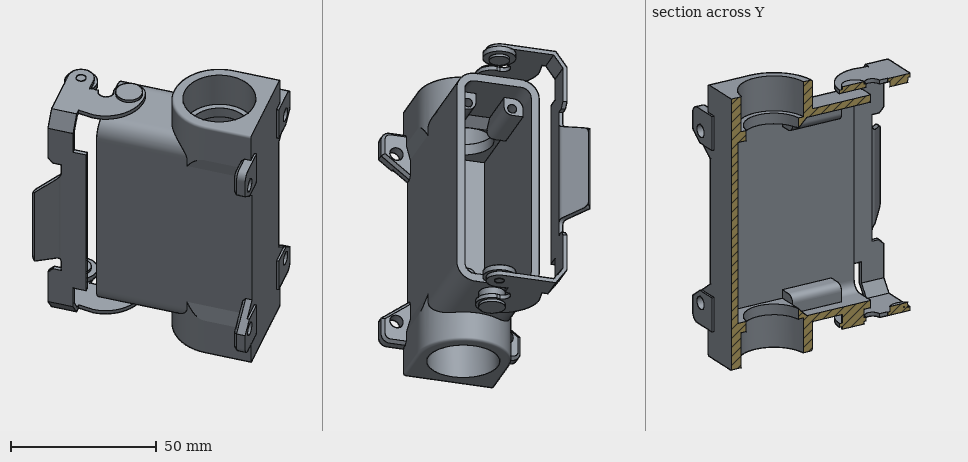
import cadquery as cq
import math


BACK_X = -0.8
FRONT_X = -56.9
BODY_HALF_Y = 14.8
BODY_HALF_Z = 39.7
BODY_RADIUS = 6.5
WALL = 2.9
BACK_WALL = 3.0
CAVITY_BACK_X = BACK_X - BACK_WALL

PORT_X = -17.4
PORT_RADIUS = 16.3
PORT_END_Z = 50.5
PORT_ROUND = 1.0
PORT_TAPER_Z = 35.8
PORT_MERGE_Z = 30.3
BORE_RADIUS = 12.5
BORE_DEPTH = 13.0
ENTRY_RADIUS = 10.5
ENTRY_PAD = 3.25
ENTRY_PAD_X = -28.0

BOSS_FRONT_X = -47.7
BOSS_INNER_Y = 5.1
BOSS_INNER_Z = 30.4
BOSS_RADIUS = 2.8
SCREW_Y = 7.95
SCREW_Z = 32.9
SCREW_HOLE_RADIUS = 1.6
SCREW_HOLE_DEPTH = 12.0

FOOT_FRONT_X = -4.2
FOOT_TIP_Y = 25.0
FOOT_TOP_Z = 40.1
FOOT_ROUND = 3.1
FOOT_SHOULDER_Z = 31.0
FOOT_LOW_Z = 23.3
FOOT_EDGE_CHAMFER = 1.1
FOOT_HOLE_Y = 19.8
FOOT_HOLE_Z = 32.0
FOOT_HOLE_RADIUS = 2.35
PAD_INNER_Y = 12.3
PAD_INNER_Z = 27.4

SHEET = 1.5
LEVER_LEFT_X = -72.75
STEM_RIGHT_X = -63.7
RAIL_RIGHT_X = -58.95
RAIL_HALF_Z = 30.3
LEVER_OUT_Y = -19.77
LEVER_HALF_Z = 44.2
BEND_Y = -15.7
BEND_Z = 38.65
NOTCH_X = -68.0
NOTCH_TOP_Z = 25.5
NOTCH_LOW_Z = 23.55
NOTCH_CHAMFER_X = 1.85

PIVOT_X = -49.9
PIVOT_PAD_RADIUS = 5.6
PIN_RADIUS = 4.6
PIN_HEAD = 1.0
SWEEP_RADIUS = 13.9
SWEEP_Y = -0.5
STEM_JOIN_Y = -13.6
RELIEF_X = -57.8
RELIEF_Y = -1.3
RELIEF_RADIUS = 2.75

ROLLER_Y = 3.15
ROLLER_RADIUS = 5.65
ROLLER_THICKNESS = 1.9
BUTTON_RADIUS = 3.5
BUTTON_HEIGHT = 0.9
RIVET_RADIUS = 1.7
RIVET_RECESS = 0.2

GRIP_ANGLE = math.radians(48)
GRIP_TIP_X = -76.23
GRIP_TIP_Y = -27.29
GRIP_BASE_HALF_Z = 18.1
GRIP_TIP_HALF_Z = 14.9
GRIP_ROUND = 2.2
BEND_OUT_RADIUS = 1.0
BEND_IN_RADIUS = BEND_OUT_RADIUS + SHEET

FAR = 200.0


def box(x0, x1, y0, y1, z0, z1):
    size = (x1 - x0, y1 - y0, z1 - z0)
    return cq.Workplane("XY").box(*size, centered=False).translate((x0, y0, z0))


def disc(x, y, z0, z1, radius):
    return cq.Workplane("XY", origin=(x, y, z0)).circle(radius).extrude(z1 - z0)


def both_ends(shape):
    return shape.union(shape.mirror("XY"))


def four_corners(shape):
    return both_ends(shape.union(shape.mirror("XZ")))


def make_port():
    """Upper D-shaped port whose flanks taper into the body sides."""
    port = (
        cq.Workplane("XY", origin=(0, 0, PORT_MERGE_Z))
        .moveTo(BACK_X, -PORT_RADIUS)
        .lineTo(PORT_X, -PORT_RADIUS)
        .threePointArc((PORT_X - PORT_RADIUS, 0), (PORT_X, PORT_RADIUS))
        .lineTo(BACK_X, PORT_RADIUS)
        .close()
        .extrude(PORT_END_Z - PORT_MERGE_Z)
    )
    port = port.faces(">Z").edges("not(>X)").fillet(PORT_ROUND)
    taper = (
        cq.Workplane("YZ")
        .polyline([
            (-BODY_HALF_Y, PORT_MERGE_Z),
            (BODY_HALF_Y, PORT_MERGE_Z),
            (PORT_RADIUS, PORT_TAPER_Z),
            (PORT_RADIUS, PORT_END_Z),
            (-PORT_RADIUS, PORT_END_Z),
            (-PORT_RADIUS, PORT_TAPER_Z),
        ])
        .close()
        .extrude(FAR, both=True)
    )
    return port.intersect(taper)


def make_cavity():
    """Rounded cavity, narrowed by 45 degree ramps ahead of the ports."""
    half_y = BODY_HALF_Y - WALL
    half_z = BODY_HALF_Z - WALL
    cavity = box(FRONT_X, CAVITY_BACK_X, -half_y, half_y, -half_z, half_z)
    cavity = cavity.edges("|X").fillet(BODY_RADIUS - WALL)
    pad = (
        cq.Workplane("XZ")
        .polyline([
            (ENTRY_PAD_X - ENTRY_PAD, half_z),
            (ENTRY_PAD_X, half_z - ENTRY_PAD),
            (CAVITY_BACK_X, half_z - ENTRY_PAD),
            (CAVITY_BACK_X, half_z),
        ])
        .close()
        .extrude(half_y, both=True)
    )
    return cavity.cut(both_ends(pad))


def make_screw_bosses():
    boss = box(
        BOSS_FRONT_X, ENTRY_PAD_X,
        BOSS_INNER_Y, BODY_HALF_Y - WALL / 2,
        BOSS_INNER_Z, BODY_HALF_Z - WALL / 2,
    )
    boss = boss.edges("|X and >Y and >Z").fillet(BODY_RADIUS - WALL / 2)
    boss = boss.edges("|X and <Y and <Z").fillet(BOSS_RADIUS)
    hole = (
        cq.Workplane("YZ", origin=(BOSS_FRONT_X, SCREW_Y, SCREW_Z))
        .circle(SCREW_HOLE_RADIUS)
        .extrude(SCREW_HOLE_DEPTH)
    )
    return four_corners(boss.cut(hole))


def make_feet():
    """Four drilled ears with bevelled front rims and raised mounting pads."""
    slope = (FOOT_SHOULDER_Z - FOOT_LOW_Z) / (FOOT_TIP_Y - BODY_HALF_Y)
    root_z = FOOT_LOW_Z - slope * (BODY_HALF_Y - PAD_INNER_Y)
    foot = (
        cq.Workplane("YZ", origin=(FOOT_FRONT_X, 0, 0))
        .polyline([
            (FOOT_TIP_Y, FOOT_SHOULDER_Z),
            (FOOT_TIP_Y, FOOT_TOP_Z),
            (PAD_INNER_Y, FOOT_TOP_Z),
            (PAD_INNER_Y, root_z),
        ])
        .close()
        .extrude(-FOOT_FRONT_X)
    )
    foot = foot.edges("|X and >Y and >Z").fillet(FOOT_ROUND)
    foot = foot.faces("<X").chamfer(FOOT_EDGE_CHAMFER)
    foot = foot.cut(box(BACK_X, FAR, 0, FAR, 0, PAD_INNER_Z))
    hole = (
        cq.Workplane("YZ")
        .center(FOOT_HOLE_Y, FOOT_HOLE_Z)
        .circle(FOOT_HOLE_RADIUS)
        .extrude(FAR, both=True)
    )
    return four_corners(foot.cut(hole))


def make_housing():
    body = box(FRONT_X, BACK_X, -BODY_HALF_Y, BODY_HALF_Y, -BODY_HALF_Z, BODY_HALF_Z)
    body = body.edges("|X").fillet(BODY_RADIUS)
    body = body.union(both_ends(make_port())).union(make_feet())
    body = body.cut(make_cavity()).union(make_screw_bosses())
    bore = disc(PORT_X, 0, PORT_END_Z - BORE_DEPTH, PORT_END_Z, BORE_RADIUS)
    body = body.cut(both_ends(bore))
    return body.cut(disc(PORT_X, 0, -PORT_END_Z, PORT_END_Z, ENTRY_RADIUS))


def make_lever_sheet():
    """Sheet bent into a C, running along X before its edges are trimmed."""
    bend_angle = math.atan2(LEVER_HALF_Z - BEND_Z, BEND_Y - LEVER_OUT_Y)
    wall_trim = SHEET * math.tan((math.pi / 2 - bend_angle) / 2)
    leg_trim = SHEET * math.tan(bend_angle / 2)
    open_y = ROLLER_Y + PIVOT_PAD_RADIUS
    outer = [(open_y, LEVER_HALF_Z), (BEND_Y, LEVER_HALF_Z), (LEVER_OUT_Y, BEND_Z)]
    inner = [
        (LEVER_OUT_Y + SHEET, BEND_Z - wall_trim),
        (BEND_Y + leg_trim, LEVER_HALF_Z - SHEET),
        (open_y, LEVER_HALF_Z - SHEET),
    ]
    outer_low = [(y, -z) for y, z in reversed(outer)]
    inner_low = [(y, -z) for y, z in reversed(inner)]
    profile = outer + outer_low + inner_low + inner
    return (
        cq.Workplane("YZ", origin=(LEVER_LEFT_X, 0, 0))
        .polyline(profile)
        .close()
        .extrude(PIVOT_X + PIVOT_PAD_RADIUS - LEVER_LEFT_X)
    )


def make_leg_outline():
    """Outline of stem, roller end and hooked pivot end, extruded through Z."""
    roller_end_radius = (STEM_RIGHT_X - LEVER_LEFT_X) / 2
    roller_x = (STEM_RIGHT_X + LEVER_LEFT_X) / 2
    sweep_x = PIVOT_X + PIVOT_PAD_RADIUS - SWEEP_RADIUS
    diagonal = SWEEP_RADIUS * math.sqrt(0.5)
    return (
        cq.Workplane("XY", origin=(0, 0, -FAR / 2))
        .moveTo(LEVER_LEFT_X, LEVER_OUT_Y)
        .lineTo(LEVER_LEFT_X, ROLLER_Y)
        .threePointArc((roller_x, ROLLER_Y + roller_end_radius), (STEM_RIGHT_X, ROLLER_Y))
        .lineTo(STEM_RIGHT_X, RELIEF_Y)
        .lineTo(RELIEF_X - RELIEF_RADIUS, RELIEF_Y)
        .threePointArc((RELIEF_X, RELIEF_Y - RELIEF_RADIUS), (RELIEF_X + RELIEF_RADIUS, RELIEF_Y))
        .lineTo(PIVOT_X - PIVOT_PAD_RADIUS, 0)
        .threePointArc((PIVOT_X, PIVOT_PAD_RADIUS), (PIVOT_X + PIVOT_PAD_RADIUS, 0))
        .lineTo(sweep_x + SWEEP_RADIUS, SWEEP_Y)
        .threePointArc((sweep_x + diagonal, SWEEP_Y - diagonal), (sweep_x, SWEEP_Y - SWEEP_RADIUS))
        .lineTo(STEM_RIGHT_X, STEM_JOIN_Y)
        .lineTo(STEM_RIGHT_X, LEVER_OUT_Y + SHEET)
        .lineTo(RAIL_RIGHT_X, LEVER_OUT_Y + SHEET)
        .lineTo(RAIL_RIGHT_X, LEVER_OUT_Y)
        .close()
        .extrude(FAR)
    )


def make_lever():
    lever = make_lever_sheet().intersect(make_leg_outline())
    notch = (
        cq.Workplane("XZ")
        .polyline([
            (LEVER_LEFT_X, NOTCH_TOP_Z),
            (LEVER_LEFT_X + NOTCH_CHAMFER_X, NOTCH_LOW_Z),
            (NOTCH_X, NOTCH_LOW_Z),
            (NOTCH_X, -NOTCH_LOW_Z),
            (LEVER_LEFT_X + NOTCH_CHAMFER_X, -NOTCH_LOW_Z),
            (LEVER_LEFT_X, -NOTCH_TOP_Z),
        ])
        .close()
        .extrude(FAR, both=True)
    )
    rail_end = box(
        STEM_RIGHT_X, RAIL_RIGHT_X,
        LEVER_OUT_Y, LEVER_OUT_Y + SHEET,
        RAIL_HALF_Z, LEVER_HALF_Z,
    )
    return lever.cut(notch).cut(both_ends(rail_end)).union(make_grip())


def make_grip():
    """Finger tab bent outward from the notched edge of the lever."""
    cosine = math.cos(GRIP_ANGLE)
    run = cosine / math.sin(GRIP_ANGLE)
    wall_in_y = LEVER_OUT_Y + SHEET
    inner_tip = (GRIP_TIP_X, GRIP_TIP_Y + SHEET * cosine)
    outer_tip = (GRIP_TIP_X + SHEET * math.sin(GRIP_ANGLE), GRIP_TIP_Y)
    inner_bend = (inner_tip[0] + run * (wall_in_y - inner_tip[1]), wall_in_y)
    outer_bend = (outer_tip[0] + run * (LEVER_OUT_Y - outer_tip[1]), LEVER_OUT_Y)
    root_x = NOTCH_X + SHEET
    tab = (
        cq.Workplane("XY")
        .polyline([
            inner_tip,
            outer_tip,
            outer_bend,
            (root_x, LEVER_OUT_Y),
            (root_x, wall_in_y),
            inner_bend,
        ])
        .close()
        .extrude(NOTCH_LOW_Z, both=True)
    )
    bends = tab.edges("|Z")
    tab = bends.edges(cq.selectors.NearestToPointSelector(inner_bend + (0,))).fillet(BEND_IN_RADIUS)
    bends = tab.edges("|Z")
    tab = bends.edges(cq.selectors.NearestToPointSelector(outer_bend + (0,))).fillet(BEND_OUT_RADIUS)
    outline = (
        cq.Workplane("XZ")
        .polyline([
            (root_x, NOTCH_LOW_Z),
            (NOTCH_X, NOTCH_LOW_Z),
            (NOTCH_X, GRIP_BASE_HALF_Z),
            (GRIP_TIP_X, GRIP_TIP_HALF_Z),
            (GRIP_TIP_X, -GRIP_TIP_HALF_Z),
            (NOTCH_X, -GRIP_BASE_HALF_Z),
            (NOTCH_X, -NOTCH_LOW_Z),
            (root_x, -NOTCH_LOW_Z),
        ])
        .close()
        .extrude(FAR, both=True)
    )
    rounded = cq.selectors.BoxSelector(
        (GRIP_TIP_X - SHEET, -FAR, -GRIP_BASE_HALF_Z - SHEET),
        (NOTCH_X + SHEET / 2, FAR, GRIP_BASE_HALF_Z + SHEET),
    )
    outline = outline.edges("|Y").edges(rounded).fillet(GRIP_ROUND)
    return tab.intersect(outline)


def add_rollers(lever):
    """Stepped roller on the inside of each leg, with a shallow rivet recess outside."""
    roller_x = (STEM_RIGHT_X + LEVER_LEFT_X) / 2
    leg_z = LEVER_HALF_Z - SHEET
    roller_z = leg_z - ROLLER_THICKNESS
    roller = disc(roller_x, ROLLER_Y, roller_z, leg_z, ROLLER_RADIUS)
    button = disc(roller_x, ROLLER_Y, roller_z - BUTTON_HEIGHT, roller_z, BUTTON_RADIUS)
    recess = disc(roller_x, ROLLER_Y, LEVER_HALF_Z - RIVET_RECESS, LEVER_HALF_Z, RIVET_RADIUS)
    return lever.union(both_ends(roller.union(button))).cut(both_ends(recess))


def add_pivots(lever):
    """Heads on both legs; only the lower pin reaches the housing."""
    head_z = LEVER_HALF_Z + PIN_HEAD
    head = disc(PIVOT_X, 0, LEVER_HALF_Z, head_z, PIN_RADIUS)
    pin = disc(PIVOT_X, 0, -head_z, -BODY_HALF_Z, PIN_RADIUS)
    return lever.union(head).union(pin)


result = make_housing().union(add_pivots(add_rollers(make_lever())))